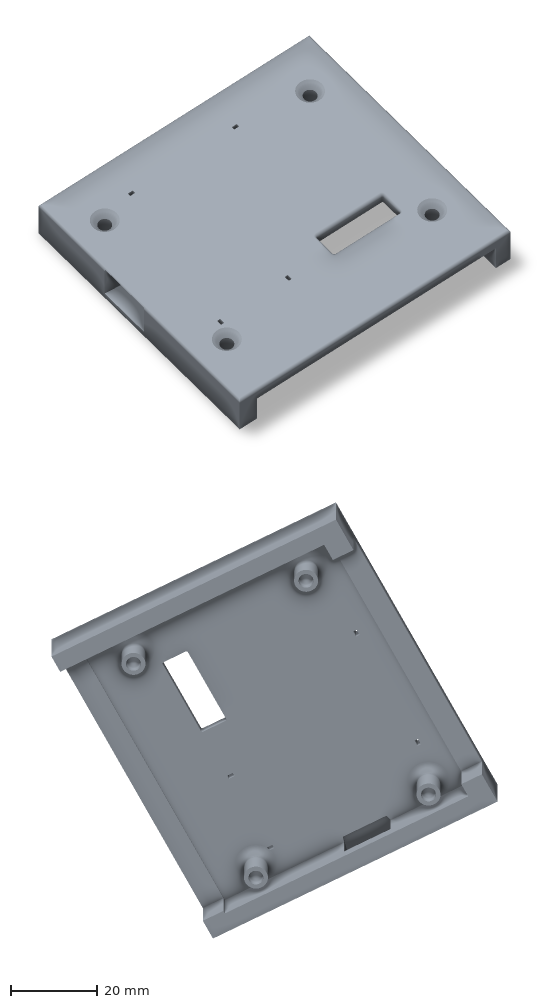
import cadquery as cq

LENGTH_X = 74.4
LENGTH_Y = 80.5
HEIGHT = 10.8
TOP_EDGE_FILLET = 1.0

PLATE_THICKNESS = 3.0
SIDE_WALL = 5.4
END_WALL = 4.35

LINTEL_HEIGHT = 3.4
LEFT_LEG_FRONT = 7.8
LEFT_LEG_BACK = 8.7
RIGHT_LEG_FRONT = 5.1
RIGHT_LEG_BACK = END_WALL

POST_DIAMETER = 5.55
POST_ROOT_FILLET = 2.0
SCREW_HOLE_DIAMETER = 3.5
COUNTERSINK_DIAMETER = 6.9
COUNTERSINK_ANGLE = 90.0
POST_XS = (-23.9, 21.25)
POST_YS = (-31.2, 29.8)

PORT_WIDTH = 14.5
PORT_HEIGHT = 8.8
PORT_DEPTH = 5.8
PORT_TAPER = 15.0
PORT_X = -5.5
PORT_Z = 5.95

WINDOW_X = 13.6
WINDOW_Y = 14.0
WINDOW_WIDTH = 6.6
WINDOW_LENGTH = 19.8
WINDOW_CORNER_RADIUS = 0.4
WINDOW_EDGE_FILLET = 1.05

SLOT_LENGTH = 1.45
SLOT_WIDTH = 0.9
LENGTHWISE_SLOTS = ((-26.5, 9.65), (-26.2, -21.4))
CROSSWISE_SLOTS = ((16.0, -8.8), (16.3, -29.1))

PLATE_BOTTOM = HEIGHT - PLATE_THICKNESS
POST_CENTERS = [(x, y) for x in POST_XS for y in POST_YS]


def make_shell():
    block = cq.Workplane("XY").box(LENGTH_X, LENGTH_Y, HEIGHT, centered=(True, True, False))
    block = block.faces(">Z").edges().fillet(TOP_EDGE_FILLET)
    cavity = cq.Workplane("XY").box(
        LENGTH_X - 2 * SIDE_WALL,
        LENGTH_Y - 2 * END_WALL,
        PLATE_BOTTOM,
        centered=(True, True, False),
    )
    return block.cut(cavity)


def side_opening(side, front_leg, back_leg):
    """Cutter for the -X (side = -1) or +X (side = 1) wall, between its two legs."""
    width = LENGTH_Y - front_leg - back_leg
    return (
        cq.Workplane("XY")
        .center(side * (LENGTH_X - SIDE_WALL) / 2, (front_leg - back_leg) / 2)
        .rect(SIDE_WALL, width)
        .extrude(HEIGHT - LINTEL_HEIGHT)
    )


def make_posts():
    """Round posts that flare into the underside of the plate."""
    radius = POST_DIAMETER / 2
    flare_radius = radius + POST_ROOT_FILLET
    flare_start = PLATE_BOTTOM - POST_ROOT_FILLET
    post = (
        cq.Workplane("XZ")
        .lineTo(radius, 0)
        .lineTo(radius, flare_start)
        .radiusArc((flare_radius, PLATE_BOTTOM), POST_ROOT_FILLET)
        .lineTo(0, PLATE_BOTTOM)
        .close()
        .revolve(360, (0, 0, 0), (0, 1, 0))
    )
    return cq.Workplane("XY").pushPoints(POST_CENTERS).eachpoint(post.val(), combine=True)


def port_cutter():
    return (
        cq.Workplane("XZ", origin=(PORT_X, -LENGTH_Y / 2, PORT_Z))
        .rect(PORT_WIDTH, PORT_HEIGHT)
        .extrude(-PORT_DEPTH, taper=PORT_TAPER)
    )


def window_cutter():
    """Straight opening through the plate with rounded corners."""
    opening = (
        cq.Workplane("XY", origin=(WINDOW_X, WINDOW_Y, PLATE_BOTTOM))
        .rect(WINDOW_WIDTH, WINDOW_LENGTH)
        .extrude(PLATE_THICKNESS)
    )
    return opening.edges("|Z").fillet(WINDOW_CORNER_RADIUS)


def slot_cutter(centers, size_x, size_y):
    return (
        cq.Workplane("XY", origin=(0, 0, PLATE_BOTTOM))
        .pushPoints(centers)
        .rect(size_x, size_y)
        .extrude(PLATE_THICKNESS)
    )


def round_window_rim(body):
    """Round the upper edge of the window where it meets the top face."""
    rim = cq.selectors.BoxSelector(
        (WINDOW_X - WINDOW_WIDTH, WINDOW_Y - WINDOW_LENGTH, HEIGHT - WINDOW_EDGE_FILLET / 2),
        (WINDOW_X + WINDOW_WIDTH, WINDOW_Y + WINDOW_LENGTH, HEIGHT + WINDOW_EDGE_FILLET / 2),
    )
    return body.edges(rim).fillet(WINDOW_EDGE_FILLET)


cover = make_shell()
cover = cover.cut(window_cutter())
cover = round_window_rim(cover)
cover = cover.cut(side_opening(-1, LEFT_LEG_FRONT, LEFT_LEG_BACK))
cover = cover.cut(side_opening(1, RIGHT_LEG_FRONT, RIGHT_LEG_BACK))
cover = cover.cut(port_cutter())
cover = cover.union(make_posts())
cover = cover.cut(slot_cutter(LENGTHWISE_SLOTS, SLOT_WIDTH, SLOT_LENGTH))
cover = cover.cut(slot_cutter(CROSSWISE_SLOTS, SLOT_LENGTH, SLOT_WIDTH))

result = (
    cover.copyWorkplane(cq.Workplane("XY", origin=(0, 0, HEIGHT)))
    .pushPoints(POST_CENTERS)
    .cskHole(SCREW_HOLE_DIAMETER, COUNTERSINK_DIAMETER, COUNTERSINK_ANGLE)
)